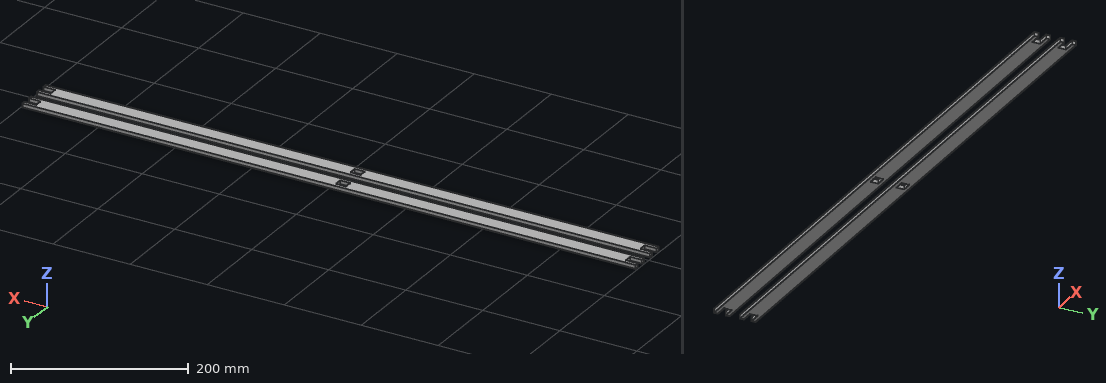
import cadquery as cq

bar_length = 796.0
bar_width = 20.0
bar_thickness = 5.0
bar_gap = 13.0

slot_width = 9.5
notch_depth = 15.0
window_length = 13.0
window_center_x = -13.0

bar_center_y = (bar_gap + bar_width) / 2


def slot_cutter(length, center_x):
    """Box through the bar thickness, centred across the bar width."""
    return cq.Workplane("XY").box(length, slot_width, bar_thickness).translate((center_x, 0, 0))


def make_bar(center_y):
    """Flat bar with notched ends and a rectangular window."""
    bar = cq.Workplane("XY").box(bar_length, bar_width, bar_thickness)

    for end in (-1, 1):
        bar = bar.cut(slot_cutter(2 * notch_depth, end * bar_length / 2))

    bar = bar.cut(slot_cutter(window_length, window_center_x))
    return bar.translate((0, center_y, 0))


bars = [make_bar(side * bar_center_y) for side in (-1, 1)]

result = cq.Compound.makeCompound([bar.val() for bar in bars])